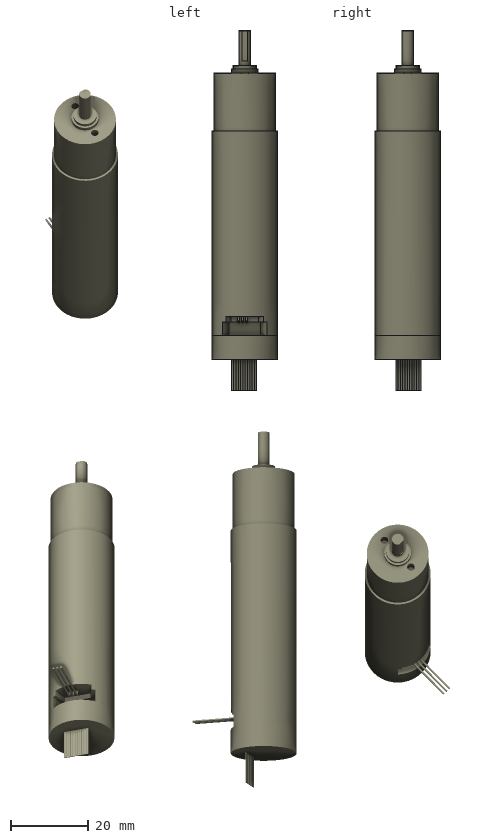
import cadquery as cq
import math


can_diameter = 17.0
encoder_height = 6.2
ribbon_length = 8.0
ribbon_x = -3.9
ribbon_centre_y = 0.2
strand_count = 11
strand_pitch = 0.6
strand_overlap = 0.02
strand_thickness = 0.205

motor_length = 52.9
lower_window_height = 3.5
window_height = 4.9
lower_mouth_width = 11.45
upper_mouth_width = 9.8
lower_floor_width = 8.2
upper_floor_width = 7.0
window_flare_angle = 70.0

wire_diameter = 0.5
wire_count = 3
wire_pitch = 1.0
wire_middle_y = 0.6
wire_height = 3.5
wire_end_x = -19.2
wire_rise_x = -5.2
wire_bend_radius = 0.4
wire_embed = 0.5

gearbox_diameter = 16.0
gearbox_length = 15.0
flange_diameter = 7.0
flange_height = 1.0
boss_diameter = 6.0
boss_height = 0.9
mount_hole_diameter = 2.0
mount_hole_depth = 2.8
mount_hole_spacing = 10.1

shaft_diameter = 3.0
shaft_length = 9.0
flat_length = 7.9
flat_depth = 0.2

motor_base = encoder_height
gearbox_base = motor_base + motor_length
gearbox_top = gearbox_base + gearbox_length
boss_base = gearbox_top + flange_height
shaft_base = boss_base + boss_height
shaft_top = shaft_base + shaft_length


def cylinder(diameter, base, height):
    """Cylinder on the Z axis, standing at the level `base`."""
    return cq.Workplane("XY").workplane(offset=base).circle(diameter / 2).extrude(height)


def ribbon_strand(centre_y):
    """One flat strand with full-round edges, hanging below the encoder cap."""
    return (
        cq.Workplane("XY")
        .center(ribbon_x, centre_y)
        .slot2D(strand_pitch + strand_overlap, strand_thickness, 90)
        .extrude(-ribbon_length)
    )


def make_encoder():
    """Encoder cap with its ribbon cable of strands joined side by side."""
    encoder = cylinder(can_diameter, 0, encoder_height)
    for index in range(strand_count):
        offset = (index - (strand_count - 1) / 2) * strand_pitch
        encoder = encoder.union(ribbon_strand(ribbon_centre_y + offset))
    return encoder


def window_step(mouth_width, floor_width, height):
    """Cutter for a window that flares from its flat floor out through the -X side of the can."""
    can_radius = can_diameter / 2
    flare = math.tan(math.radians(window_flare_angle))
    mouth_x = -math.sqrt(can_radius**2 - (mouth_width / 2) ** 2)
    floor_x = mouth_x + flare * (mouth_width - floor_width) / 2
    outer_x = -can_radius
    outer_width = mouth_width + 2 * (mouth_x - outer_x) / flare
    return (
        cq.Workplane("XY")
        .workplane(offset=motor_base)
        .polyline(
            [
                (floor_x, floor_width / 2),
                (outer_x, outer_width / 2),
                (outer_x, -outer_width / 2),
                (floor_x, -floor_width / 2),
            ]
        )
        .close()
        .extrude(height)
    )


def lead_wire(y):
    """One round wire: straight run along X, quarter bend, short rise into the window ceiling."""
    level = motor_base + wire_height
    bend_start_x = wire_rise_x - wire_bend_radius
    ceiling = motor_base + window_height
    path = (
        cq.Workplane("XZ", origin=(0, y, 0))
        .moveTo(wire_end_x, level)
        .lineTo(bend_start_x, level)
        .tangentArcPoint((wire_rise_x, level + wire_bend_radius), relative=False)
        .lineTo(wire_rise_x, ceiling + wire_embed)
    )
    return cq.Workplane("YZ", origin=(wire_end_x, y, level)).circle(wire_diameter / 2).sweep(path)


def make_motor():
    """Motor can with the stepped window and the lead wires that leave through it."""
    motor = cylinder(can_diameter, motor_base, motor_length)
    motor = motor.cut(window_step(lower_mouth_width, lower_floor_width, lower_window_height))
    motor = motor.cut(window_step(upper_mouth_width, upper_floor_width, window_height))
    for index in range(wire_count):
        offset = (index - (wire_count - 1) / 2) * wire_pitch
        motor = motor.union(lead_wire(wire_middle_y + offset))
    return motor


def make_shaft():
    """Output shaft, flattened on the -X side from its tip down."""
    flat_x = flat_depth - shaft_diameter / 2
    flat_cutter = (
        cq.Workplane("XY")
        .workplane(offset=shaft_top - flat_length)
        .center(flat_x - shaft_diameter / 2, 0)
        .rect(shaft_diameter, shaft_diameter)
        .extrude(flat_length)
    )
    return cylinder(shaft_diameter, shaft_base, shaft_length).cut(flat_cutter)


def make_gearbox():
    """Gearbox with the stepped boss, the output shaft and two blind mounting holes."""
    mount_holes = (
        cq.Workplane("XY")
        .workplane(offset=gearbox_top)
        .rarray(mount_hole_spacing, 0.9, 2, 1)
        .circle(mount_hole_diameter / 2)
        .extrude(-mount_hole_depth)
    )
    return (
        cylinder(gearbox_diameter, gearbox_base, gearbox_length)
        .union(cylinder(flange_diameter, gearbox_top, flange_height))
        .union(cylinder(boss_diameter, boss_base, boss_height))
        .union(make_shaft())
        .cut(mount_holes)
    )


encoder = make_encoder()
motor = make_motor()
gearbox = make_gearbox()

result = cq.Compound.makeCompound([body.solids().val() for body in (encoder, motor, gearbox)])